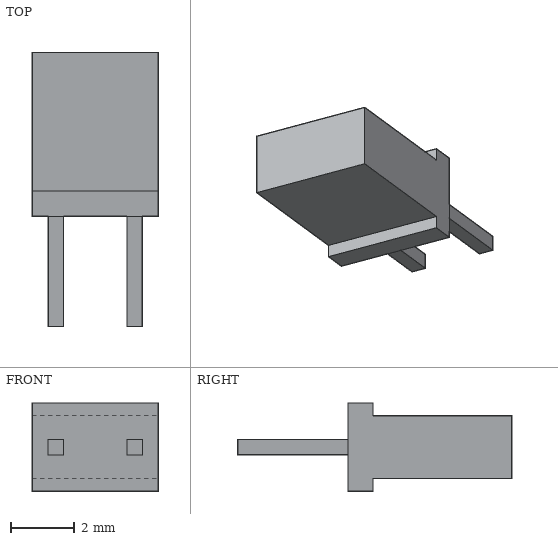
import cadquery as cq

total_length = 8.7
width = 4.0
flange_height = 2.8

flange_thickness = 0.8
pin_length = 3.5
body_length = total_length - pin_length - flange_thickness

body_height = 2.0
pin_side = 0.5
pin_pitch = 2.5


def block(size_x, length, size_z, start_y, center_x=0.0):
    """Box centred on Z = 0 that runs toward +Y from start_y."""
    return (
        cq.Workplane("XY")
        .box(size_x, length, size_z, centered=(True, False, True))
        .translate((center_x, start_y, 0))
    )


flange = block(width, flange_thickness, flange_height, 0)
body = block(width, body_length, body_height, flange_thickness)
result = flange.union(body)

for side in (-1, 1):
    pin = block(pin_side, pin_length, pin_side, -pin_length, side * pin_pitch / 2)
    result = result.union(pin)